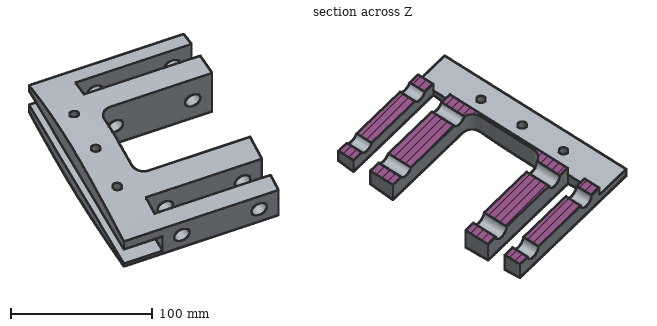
import cadquery as cq

width = 165.4
depth = 120.0
half_width = width / 2

top_left_z = 13.0
top_right_z = 16.0
top_crown = [(-53.4, 19.5), (-7.5, 23.8), (26.5, 22.5)]
bottom_left_z = -15.0
bottom_right_z = -10.7
bottom_crown = [(19.8, -17.7), (-13.2, -19.0), (-41.3, -18.4)]

slot_width = 15.0
front_slot_depth = 30.0
outer_arm_width = 13.9
arm_slot_center = half_width - outer_arm_width - slot_width / 2

pocket_width = 66.0
pocket_front = 32.2
pocket_corner_radius = 9.1

plate_hole_diameter = 6.6
plate_hole_pitch = 37.5
plate_hole_y = front_slot_depth / 2

arm_hole_diameter = 11.9
arm_hole_ys = (45.0, 105.0)
left_arm_hole_z = 0.0
right_arm_hole_z = 2.5

cut_height = 2 * depth


def crowned_body():
    """Lens-like profile extruded from front to back."""
    profile = (
        cq.Workplane("XZ")
        .moveTo(-half_width, top_left_z)
        .spline(top_crown + [(half_width, top_right_z)], includeCurrent=True)
        .lineTo(half_width, bottom_right_z)
        .spline(bottom_crown + [(-half_width, bottom_left_z)], includeCurrent=True)
        .close()
    )
    return profile.extrude(-depth)


def back_opening(center_x, opening_width, front_y):
    """Vertical cutter from front_y to the back face."""
    return (
        cq.Workplane("XY")
        .box(opening_width, depth - front_y, cut_height, centered=(True, False, True))
        .translate((center_x, front_y, 0))
    )


def arm_holes(side, hole_z):
    """Cross-hole cutter for one half of the part, from the middle outward."""
    return (
        cq.Workplane("YZ")
        .pushPoints([(y, hole_z) for y in arm_hole_ys])
        .circle(arm_hole_diameter / 2)
        .extrude(side * half_width)
    )


front_slot = cq.Workplane("XY").box(
    width, front_slot_depth, slot_width, centered=(True, False, True)
)
pocket = back_opening(0, pocket_width, pocket_front).edges("|Z and <Y").fillet(pocket_corner_radius)
plate_holes = (
    cq.Workplane("XY")
    .pushPoints([(i * plate_hole_pitch, plate_hole_y) for i in (-1, 0, 1)])
    .circle(plate_hole_diameter / 2)
    .extrude(cut_height / 2, both=True)
)

result = crowned_body().cut(front_slot).cut(pocket).cut(plate_holes)
for side, hole_z in ((-1, left_arm_hole_z), (1, right_arm_hole_z)):
    result = result.cut(back_opening(side * arm_slot_center, slot_width, front_slot_depth))
    result = result.cut(arm_holes(side, hole_z))